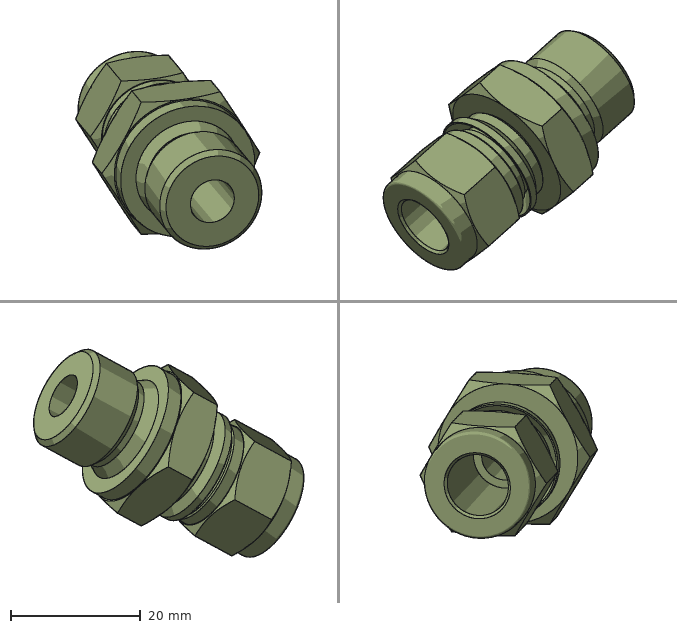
import cadquery as cq
import math

LENGTH = 40.5

NUT_FLATS = 17.4
NUT_COLLAR_DIA = 17.0
NUT_TAIL_DIA = 16.8
NUT_ROUND = 0.45
NUT_HEX_START = 2.95
NUT_HEX_END = 11.9
NUT_END = 13.98
NUT_TAIL_CHAMFER = 0.25

NECK_DIA = 14.4
NECK_END = 15.5
CORE_DIA = 13.05
RING_DIA = 18.25
SHOULDER_DIA = 15.8
RING_START = 14.8
RING_END = 16.05
RIM_WIDTH = 0.25
DISH_DIA = RING_DIA - 2 * RIM_WIDTH
DISH_BOTTOM = RING_START + (DISH_DIA - CORE_DIA) / 2
SHOULDER_START = RING_END + (RING_DIA - SHOULDER_DIA) / 2
SHOULDER_CHAMFER = 0.5

BODY_FLATS = 22.25
BODY_HEX_START = 19.4
BODY_HEX_END = 26.0
FLANGE_DIA = 21.8
FLANGE_END = 28.45

CONE_DIA = 16.8
RELIEF_DIA = 14.7
RELIEF_START = 30.42
RELIEF_END = 31.5
THREAD_DIA = 16.6
THREAD_START = RELIEF_END + (THREAD_DIA - RELIEF_DIA) / 2
THREAD_CHAMFER = 0.75

BORE_DIA = 7.15
SOCKET_DIA = 9.72
SOCKET_DEPTH = 17.0
SOCKET_CHAMFER = 0.4

HEX_HALF_ANGLE = 30.0
HEX_CHAMFER_ANGLE = 30.0


def revolve_profile(points):
    """Revolve (x, diameter) points, closed along the axis, about X."""
    outline = [(x, diameter / 2) for x, diameter in points]
    return cq.Workplane("XY").polyline(outline).close().revolve(360, (0, 0, 0), (1, 0, 0))


def chamfered_hexagon(start, end, flats, face_dia):
    """Hexagon with flats facing +/-Z and conically chamfered corners at both ends."""
    corners = flats / math.cos(math.radians(HEX_HALF_ANGLE))
    drop = (corners - face_dia) / 2 * math.tan(math.radians(HEX_CHAMFER_ANGLE))
    prism = cq.Workplane("YZ", origin=(start, 0, 0)).polygon(6, corners).extrude(end - start)
    envelope = revolve_profile([
        (start, 0),
        (start, face_dia),
        (start + drop, corners),
        (end - drop, corners),
        (end, face_dia),
        (end, 0),
    ])
    return prism.intersect(envelope)


turned = revolve_profile([
    (0, 0),
    (0, NUT_COLLAR_DIA),
    (NUT_HEX_START, NUT_COLLAR_DIA),
    (NUT_HEX_START, NUT_TAIL_DIA),
    (NUT_END - NUT_TAIL_CHAMFER, NUT_TAIL_DIA),
    (NUT_END, NUT_TAIL_DIA - 2 * NUT_TAIL_CHAMFER),
    (NUT_END, NECK_DIA),
    (NECK_END, NECK_DIA),
    (NECK_END, CORE_DIA),
    (DISH_BOTTOM, CORE_DIA),
    (RING_START, DISH_DIA),
    (RING_START, RING_DIA),
    (RING_END, RING_DIA),
    (SHOULDER_START, SHOULDER_DIA),
    (BODY_HEX_START - SHOULDER_CHAMFER, SHOULDER_DIA),
    (BODY_HEX_START, SHOULDER_DIA - 2 * SHOULDER_CHAMFER),
    (BODY_HEX_END, SHOULDER_DIA - 2 * SHOULDER_CHAMFER),
    (BODY_HEX_END, FLANGE_DIA),
    (FLANGE_END, FLANGE_DIA),
    (FLANGE_END, CONE_DIA),
    (RELIEF_START, RELIEF_DIA),
    (RELIEF_END, RELIEF_DIA),
    (THREAD_START, THREAD_DIA),
    (LENGTH - THREAD_CHAMFER, THREAD_DIA),
    (LENGTH, THREAD_DIA - 2 * THREAD_CHAMFER),
    (LENGTH, 0),
])
turned = turned.faces("<X").edges().fillet(NUT_ROUND)

nut_hexagon = chamfered_hexagon(NUT_HEX_START, NUT_HEX_END, NUT_FLATS, NUT_COLLAR_DIA)
body_hexagon = chamfered_hexagon(BODY_HEX_START, BODY_HEX_END, BODY_FLATS, BODY_FLATS)

passage = revolve_profile([
    (0, 0),
    (0, SOCKET_DIA + 2 * SOCKET_CHAMFER),
    (SOCKET_CHAMFER, SOCKET_DIA),
    (SOCKET_DEPTH, SOCKET_DIA),
    (SOCKET_DEPTH, BORE_DIA),
    (LENGTH, BORE_DIA),
    (LENGTH, 0),
])

result = turned.union(nut_hexagon).union(body_hexagon).cut(passage)